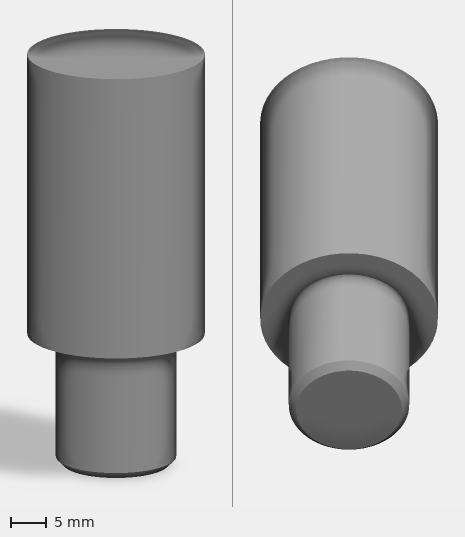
import cadquery as cq

total_length = 60.0
head_diameter = 25.0
shank_diameter = 17.0
shank_length = 19.0
tip_chamfer = 1.0

head_length = total_length - shank_length

shank = (
    cq.Workplane("XY")
    .circle(shank_diameter / 2)
    .extrude(shank_length)
    .faces("<Z")
    .chamfer(tip_chamfer)
)

result = (
    shank.faces(">Z")
    .workplane()
    .circle(head_diameter / 2)
    .extrude(head_length)
)

result = result.translate((0, 0, -total_length / 2))